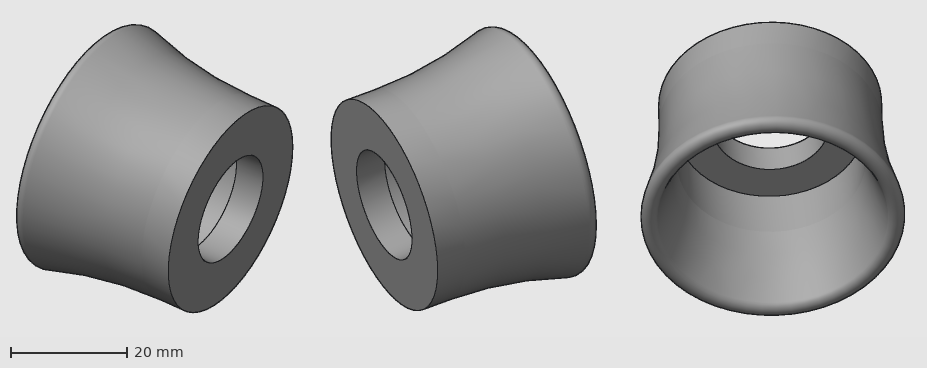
import cadquery as cq
import math

length = 29.8
rim_diameter = 45.45
collar_diameter = 38.45
hole_diameter = 20.0
wall = 3.0
collar_length = 5.5
floor_thickness = 5.5
inner_flare_end = 15.15
inner_lip_angle = math.radians(22)

lip_radius = wall / 2
lip_center_radius = rim_diameter / 2 - lip_radius
collar_radius = collar_diameter / 2
bore_radius = collar_radius - wall
hole_radius = hole_diameter / 2
outer_flare_end = length - collar_length
floor_position = length - floor_thickness

flare_run = outer_flare_end - lip_radius
flare_rise = lip_center_radius - (collar_radius - lip_radius)
center_arc_radius = (flare_run**2 + flare_rise**2) / (2 * flare_rise)
outer_flare_radius = center_arc_radius - lip_radius
outer_lip_angle = math.asin(flare_run / center_arc_radius)


def outer_flare_point(angle):
    """Point on the outer flare, turned by angle from the collar end."""
    return (
        outer_flare_end - outer_flare_radius * math.sin(angle),
        collar_radius + outer_flare_radius * (1 - math.cos(angle)),
    )


lip_front = (0, lip_center_radius)
inner_lip_end = (
    lip_radius - lip_radius * math.sin(inner_lip_angle),
    lip_center_radius - lip_radius * math.cos(inner_lip_angle),
)

profile = (
    cq.Workplane("XY")
    .moveTo(length, hole_radius)
    .lineTo(length, collar_radius)
    .lineTo(outer_flare_end, collar_radius)
    .threePointArc(outer_flare_point(outer_lip_angle / 2), outer_flare_point(outer_lip_angle))
    .threePointArc(lip_front, inner_lip_end)
    .tangentArcPoint((inner_flare_end, bore_radius), relative=False)
    .lineTo(floor_position, bore_radius)
    .lineTo(floor_position, hole_radius)
    .close()
)

result = profile.revolve(360, (0, 0, 0), (1, 0, 0))